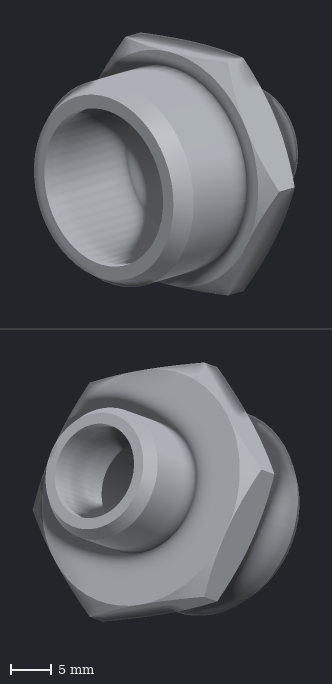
import cadquery as cq
import math

across_corners = 34.65
across_flats = across_corners * math.cos(math.radians(30))
collar_width = 5.5
corner_bevel_angle = 30.0

large_diameter = 26.15
large_length = 12.0
large_chamfer_length = 2.3
small_diameter = 16.75
small_length = 10.0
small_chamfer_length = 1.7
end_chamfer_angle = 30.0

large_bore_diameter = 20.02
small_bore_diameter = 12.0
large_bore_depth = 15.0
bore_cone_angle = 118.0

overall_length = large_length + collar_width + small_length
front_y = -overall_length / 2
collar_front_y = front_y + large_length
collar_back_y = collar_front_y + collar_width
back_y = overall_length / 2


def revolve_about_y(points):
    """Turn a closed (radius, y) outline around the Y axis."""
    return cq.Workplane("XY").polyline(points).close().revolve(360, (0, 0, 0), (0, 1, 0))


def chamfered_end(diameter, root_y, tip_y, chamfer_length):
    """Cylinder from root to tip, tapered at the tip."""
    radius = diameter / 2
    tip_radius = radius - chamfer_length * math.tan(math.radians(end_chamfer_angle))
    chamfer_y = tip_y - math.copysign(chamfer_length, tip_y - root_y)
    return revolve_about_y(
        [(0, root_y), (radius, root_y), (radius, chamfer_y), (tip_radius, tip_y), (0, tip_y)]
    )


def hexagon_collar():
    """Hexagon with two corners on X and both faces bevelled down to the flats."""
    prism = (
        cq.Workplane("XZ", origin=(0, collar_front_y, 0))
        .polygon(6, across_corners)
        .extrude(-collar_width)
    )
    face_radius = across_flats / 2
    corner_radius = across_corners / 2
    bevel = (corner_radius - face_radius) * math.tan(math.radians(corner_bevel_angle))
    bevel_envelope = revolve_about_y(
        [
            (0, collar_front_y),
            (face_radius, collar_front_y),
            (corner_radius, collar_front_y + bevel),
            (corner_radius, collar_back_y - bevel),
            (face_radius, collar_back_y),
            (0, collar_back_y),
        ]
    )
    return prism.intersect(bevel_envelope)


def stepped_bore():
    """Wide bore from the front, a drill-point cone, then a narrow through bore."""
    large_radius = large_bore_diameter / 2
    small_radius = small_bore_diameter / 2
    cone_start_y = front_y + large_bore_depth
    cone_length = (large_radius - small_radius) / math.tan(math.radians(bore_cone_angle / 2))
    cone_end_y = cone_start_y + cone_length
    return revolve_about_y(
        [
            (0, front_y),
            (large_radius, front_y),
            (large_radius, cone_start_y),
            (small_radius, cone_end_y),
            (small_radius, back_y),
            (0, back_y),
        ]
    )


large_end = chamfered_end(large_diameter, collar_front_y, front_y, large_chamfer_length)
small_end = chamfered_end(small_diameter, collar_back_y, back_y, small_chamfer_length)
result = hexagon_collar().union(large_end).union(small_end).cut(stepped_bore())